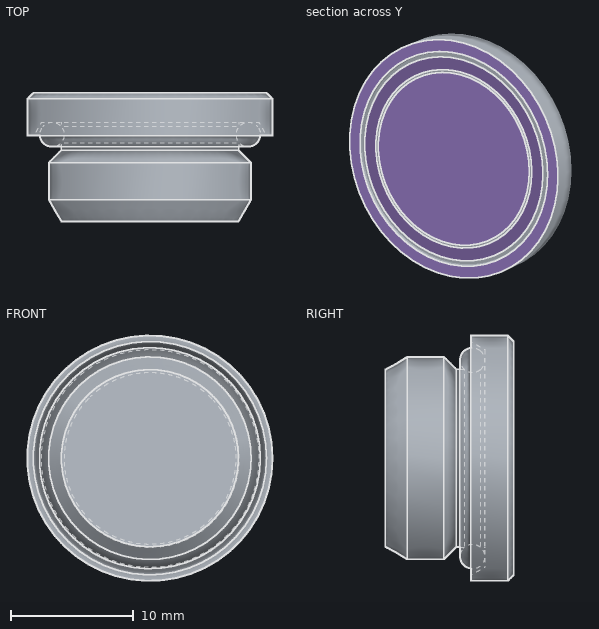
import cadquery as cq
import math


head_radius = 10.0
head_height = 3.5
head_chamfer = 0.5

shank_diameter = 16.5
shank_radius = shank_diameter / 2
shank_length = 7.0
tip_chamfer_length = 1.8
tip_chamfer_angle = math.radians(30)
tip_radius = shank_radius - tip_chamfer_length * math.tan(tip_chamfer_angle)

neck_diameter = 14.5
neck_radius = neck_diameter / 2
neck_length = 1.2
neck_flare = shank_radius - neck_radius

ring_wire_radius = 1.0
ring_outer_radius = 9.0
ring_protrusion = 0.9
ring_centre_radius = ring_outer_radius - ring_wire_radius
ring_centre_y = -(head_height + ring_protrusion) + ring_wire_radius

recess_mouth_radius = 9.5
recess_wall_angle = math.radians(30)
recess_floor_y = ring_centre_y + ring_wire_radius
recess_depth = head_height + recess_floor_y
recess_floor_radius = recess_mouth_radius - recess_depth * math.tan(recess_wall_angle)


def make_plug():
    """Turn the head, recess, neck and shank from one half profile."""
    tip_y = -(head_height + shank_length)
    shoulder_y = -(head_height + neck_length)
    half_profile = (
        cq.Workplane("XY")
        .moveTo(0, 0)
        .lineTo(head_radius - head_chamfer, 0)
        .lineTo(head_radius, -head_chamfer)
        .lineTo(head_radius, -head_height)
        .lineTo(recess_mouth_radius, -head_height)
        .lineTo(recess_floor_radius, recess_floor_y)
        .lineTo(neck_radius, recess_floor_y)
        .lineTo(neck_radius, shoulder_y)
        .lineTo(shank_radius, shoulder_y - neck_flare)
        .lineTo(shank_radius, tip_y + tip_chamfer_length)
        .lineTo(tip_radius, tip_y)
        .lineTo(0, tip_y)
        .close()
    )
    return half_profile.revolve(360, (0, 0, 0), (0, 1, 0))


def make_sealing_ring():
    """Turn the round-section ring that sits around the neck."""
    section = cq.Workplane("XY").center(ring_centre_radius, ring_centre_y).circle(ring_wire_radius)
    axis_start = (-ring_centre_radius, 0, 0)
    axis_end = (-ring_centre_radius, 1, 0)
    return section.revolve(360, axis_start, axis_end)


sealing_ring = make_sealing_ring()
plug = make_plug().cut(sealing_ring)

result = cq.Compound.makeCompound([plug.val(), sealing_ring.val()])